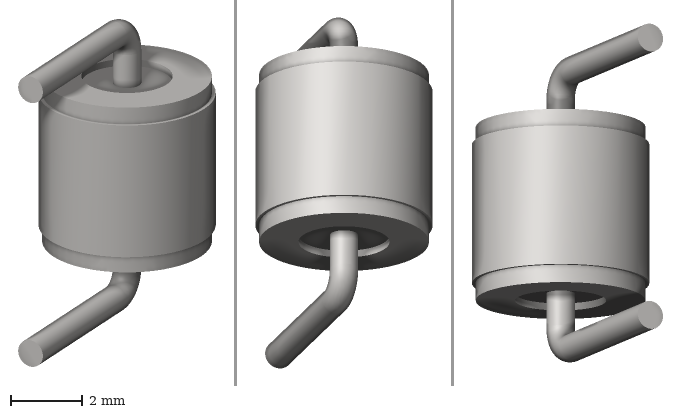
import cadquery as cq

overall_height = 8.8
lead_diameter = 0.8
sleeve_diameter = 5.0
sleeve_height = 3.995
cap_diameter = 4.79
body_height = 5.0
recess_diameter = 2.57
recess_depth = 0.2
bend_radius = 0.7
overall_depth = 8.0

lead_end_y = sleeve_diameter / 2 - overall_depth
lead_axis_z = (overall_height - lead_diameter) / 2
recess_floor_z = body_height / 2 - recess_depth


def centred_cylinder(diameter, height):
    base = cq.Workplane("XY", origin=(0, 0, -height / 2))
    return base.circle(diameter / 2).extrude(height)


def upper_recess():
    """Round pocket in the upper end face, around the lead."""
    return (
        cq.Workplane("XY", origin=(0, 0, recess_floor_z))
        .circle(recess_diameter / 2)
        .extrude(recess_depth)
    )


def upper_lead():
    """Round wire rising from inside the body and bending toward -Y."""
    riser_height = lead_axis_z - bend_radius
    riser = cq.Workplane("XY").circle(lead_diameter / 2).extrude(riser_height)
    bend = (
        cq.Workplane("XY", origin=(0, 0, riser_height))
        .circle(lead_diameter / 2)
        .revolve(90, (-0.09, -bend_radius, 0), (0.09, -bend_radius, 0))
    )
    arm = (
        cq.Workplane("XZ", origin=(0, -bend_radius, lead_axis_z))
        .circle(lead_diameter / 2)
        .extrude(-lead_end_y - bend_radius)
    )
    return riser.union(bend).union(arm)


def both_ends(upper_feature):
    return upper_feature.union(upper_feature.mirror("XY"))


sleeve = centred_cylinder(sleeve_diameter, sleeve_height)
body = sleeve.union(centred_cylinder(cap_diameter, body_height))
result = body.cut(both_ends(upper_recess())).union(both_ends(upper_lead()))